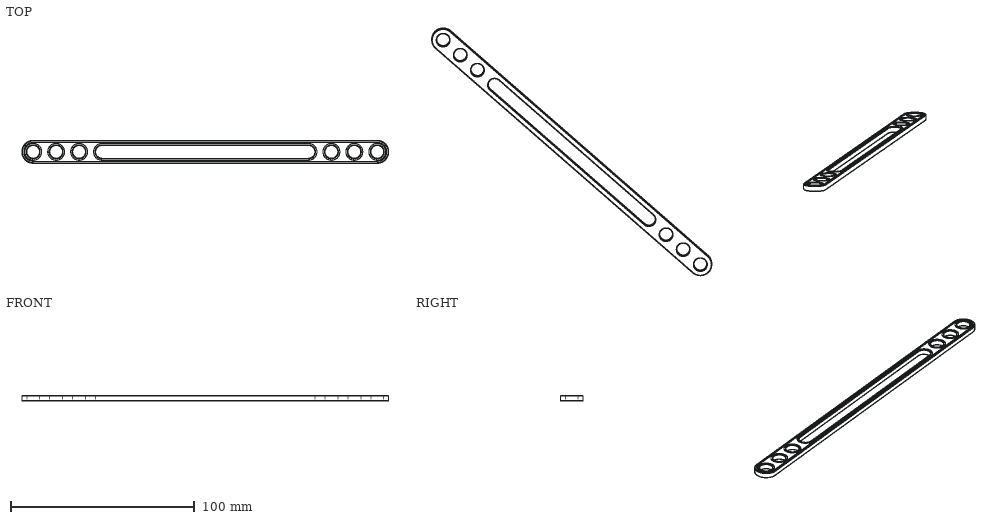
import cadquery as cq

PITCH = 12.5
PITCH_COUNT = 16
THICKNESS = PITCH / 4
HOLE_DIAMETER = 7.0
COLLAR_DIAMETER = 9.2
HOLES_PER_END = 3
POCKET_DEPTH = 0.2
EDGE_CHAMFER = 0.3

LENGTH = PITCH * PITCH_COUNT
RIM_WIDTH = (COLLAR_DIAMETER - HOLE_DIAMETER) / 2
END_HOLE_X = (LENGTH - PITCH) / 2
SLOT_CENTER_X = END_HOLE_X - HOLES_PER_END * PITCH
HOLE_POINTS = [
    (side * (END_HOLE_X - index * PITCH), 0)
    for side in (-1, 1)
    for index in range(HOLES_PER_END)
]


def rounded_prism(length, width, base_z, height):
    """Straight prism with full-round ends, centred on the Z axis."""
    plane = cq.Workplane("XY").workplane(offset=base_z)
    return plane.slot2D(length, width).extrude(height)


def openings(width, base_z, height):
    """Cylinders at the round holes plus the long middle slot, all of one width."""
    slot = rounded_prism(2 * SLOT_CENTER_X + width, width, base_z, height)
    plane = cq.Workplane("XY").workplane(offset=base_z)
    cylinders = plane.pushPoints(HOLE_POINTS).circle(width / 2).extrude(height)
    return slot.union(cylinders)


def chamfered_strip():
    """Strip with its through openings, chamfered along the top and bottom edges."""
    blank = rounded_prism(LENGTH, PITCH, 0, THICKNESS)
    pierced = blank.cut(openings(HOLE_DIAMETER, 0, THICKNESS))
    return pierced.faces(">Z or <Z").edges().chamfer(EDGE_CHAMFER)


def web_pocket():
    """Shallow top recess inside the rim that leaves the collars standing."""
    floor_z = THICKNESS - POCKET_DEPTH
    inside_rim = rounded_prism(LENGTH - 2 * RIM_WIDTH, PITCH - 2 * RIM_WIDTH, floor_z, POCKET_DEPTH)
    return inside_rim.cut(openings(COLLAR_DIAMETER, floor_z, POCKET_DEPTH))


result = chamfered_strip().cut(web_pocket())